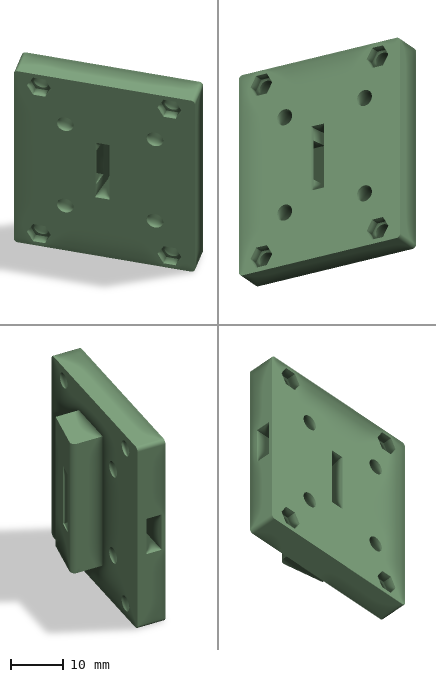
import cadquery as cq
import math

plate_width = 36.0
plate_thickness = 6.0
plate_height = 42.0
corner_radius = 0.8

block_left = -3.4
block_width = 10.0
block_height = 30.0
block_short_depth = 5.0
slope_angle = 10.0
block_edge_radius = 1.0

corner_hole_diameter = 3.2
corner_spacing_x = 25.9
corner_spacing_z = 36.0
nut_across_corners = 4.85
nut_depth = 2.0

inner_hole_diameter = 3.3
inner_center_x = 1.15
inner_spacing_x = 17.8
inner_spacing_z = 20.0

slot_left = -1.8
slot_width = 2.8
slot_height = 13.4
slot_mouth_depth = 1.0

window_front = 0.8
window_depth = 3.28
window_height = 8.2

slope_tangent = math.tan(math.radians(slope_angle))
block_right = block_left + block_width
block_short_back = plate_thickness + block_short_depth
block_tall_back = block_short_back + block_width * slope_tangent


def extrude_centered(points, height):
    """Extrude an XY outline along Z, centred on Z = 0."""
    return cq.Workplane("XY").polyline(points).close().extrude(height / 2, both=True)


def through_plate(points, diameter):
    """Round cutters running the full plate thickness along Y."""
    front_plane = cq.Workplane("XZ").pushPoints(points)
    return front_plane.circle(diameter / 2).extrude(-plate_thickness)


def grid(spacing_x, spacing_z, center_x=0.0):
    """Four (X, Z) positions at the corners of a rectangle."""
    return [
        (center_x + side_x * spacing_x / 2, side_z * spacing_z / 2)
        for side_x in (-1, 1)
        for side_z in (-1, 1)
    ]


def make_plate():
    plate = cq.Workplane("XZ").rect(plate_width, plate_height).extrude(-plate_thickness)
    return plate.edges("|Y").fillet(corner_radius)


def make_block():
    outline = [
        (block_left, plate_thickness),
        (block_right, plate_thickness),
        (block_right, block_short_back),
        (block_left, block_tall_back),
    ]
    block = extrude_centered(outline, block_height)
    return block.edges("|Z and >Y").fillet(block_edge_radius)


def make_slot():
    exit_shift = (plate_thickness - slot_mouth_depth) * slope_tangent
    left_wall = [
        (slot_left, 0),
        (slot_left, slot_mouth_depth),
        (slot_left + exit_shift, plate_thickness),
        (slot_left + exit_shift, block_tall_back),
    ]
    right_wall = [(x + slot_width, y) for x, y in reversed(left_wall)]
    return extrude_centered(left_wall + right_wall, slot_height)


def make_window():
    outer_face = -plate_width / 2
    slot_middle = slot_left + slot_width / 2
    window_back = window_front + window_depth
    outline = [
        (outer_face, window_front),
        (slot_middle, window_front),
        (slot_middle, window_back),
        (outer_face, window_back),
    ]
    return extrude_centered(outline, window_height)


corner_points = grid(corner_spacing_x, corner_spacing_z)
inner_points = grid(inner_spacing_x, inner_spacing_z, inner_center_x)
nut_pockets = (
    cq.Workplane("XZ")
    .pushPoints(corner_points)
    .polygon(6, nut_across_corners)
    .extrude(-nut_depth)
)

result = (
    make_plate()
    .union(make_block())
    .cut(make_slot())
    .cut(make_window())
    .cut(through_plate(corner_points, corner_hole_diameter))
    .cut(nut_pockets)
    .cut(through_plate(inner_points, inner_hole_diameter))
)